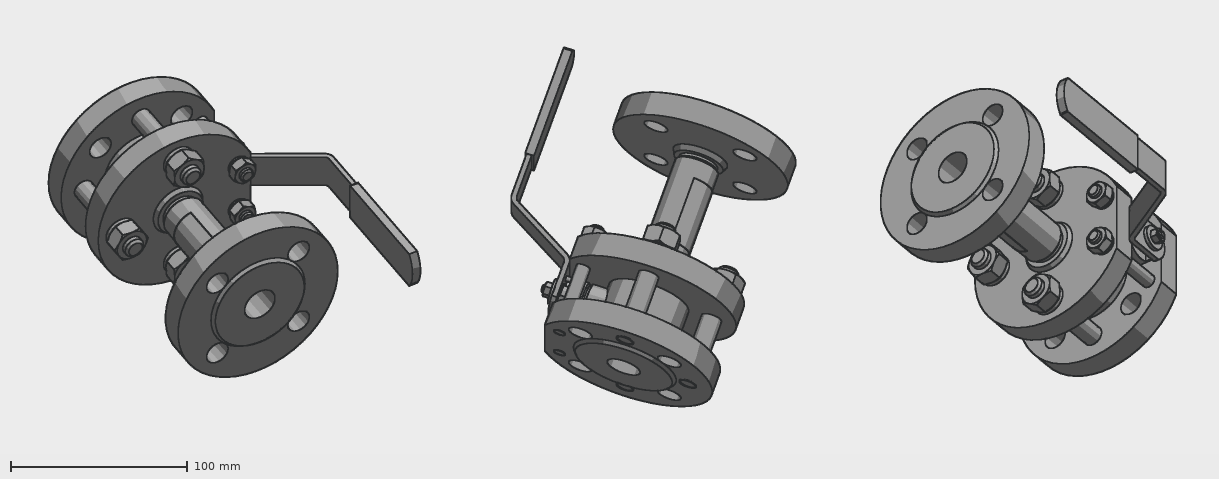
import cadquery as cq
import math


flange_radius = 52.5
flange_thickness = 14.4
face_height = 2.0
face_radius = 29.2
face_base_radius = 30.9
bolt_circle_radius = 37.7
bolt_hole_radius = 7.0
bolt_hole_count = 4
first_bolt_hole_angle = 45
front_flat_y = 48.2
middle_flat_y = 47.5

front_flange_x = face_height
body_x = front_flange_x + flange_thickness
body_length = 27.6
middle_flange_x = body_x + body_length
middle_flange_end_x = middle_flange_x + flange_thickness
total_length = 151.0
rear_flange_end_x = total_length - face_height
rear_flange_x = rear_flange_end_x - flange_thickness

body_radius = 24.0
bore_radius = 10.0
neck_radius = 11.5
pipe_radius = 13.0
pipe_chamfer = pipe_radius - neck_radius
pipe_start_x = 63.3
pipe_end_x = 129.5
collar_radius = 14.8
collar_base_radius = 16.3
front_collar_length = 2.7
rear_collar_length = 3.3
plate_radius = 13.4
plate_start_x = 76.7
plate_end_x = 116.8
plate_edge_y = -2.2

large_stud = dict(
    radius=6.0, tip_chamfer=1.5, tip_x=75.5, hole_radius=5.1, groove_width=0.6,
    washer_radius=9.6, washer_thickness=2.7, nut_radius=11.2, nut_height=10.0,
)
small_stud = dict(
    radius=4.1, tip_chamfer=1.0, tip_x=69.7, hole_radius=3.5, groove_width=0.25,
    washer_radius=6.3, washer_thickness=1.7, nut_radius=7.7, nut_height=6.7,
)
large_stud_centers = [
    (0, bolt_circle_radius),
    (0, -bolt_circle_radius),
    (-bolt_circle_radius, 0),
]
small_stud_y = 39.3
small_stud_z = 16.3
small_stud_centers = [(small_stud_y, small_stud_z), (small_stud_y, -small_stud_z)]
nut_chamfer_angle = 30

stem_x = body_x + body_length / 2
boss_radius = 11.0
boss_top_y = 32.3
groove_radius = 10.0
groove_chamfer = boss_radius - groove_radius
groove_top_y = 34.7
collar_top_y = 44.1
stop_top_y = 47.7
stop_edge_x = 25.9
gland_radius = 5.3
stem_sleeve_radius = 6.2
stop_pin_x = 40.1
stop_pin_radius = 1.5
stem_washer_radius = 7.4
stem_washer_thickness = 2.0
stem_nut_radius = 4.5
stem_nut_height = 4.3
stem_tip_radius = 2.5
stem_tip_height = 1.5
stem_tip_chamfer = 0.9

lever_thickness = 3.1
lever_half_width = 10.8
lever_base_y = 48.4
lever_top_y = lever_base_y + lever_thickness
lever_end_radius = 12.5
lever_bend_angle = 60
lever_bend_start_x = 45.5
lever_inner_bend_radius = 3.1
lever_arm_y = 89.7

grip_start_x = 100.7
grip_end_x = 171.5
grip_arc_start_x = 167.8
grip_bottom_y = 88.4
grip_top_y = 93.7
grip_bottom_z = -13.0
grip_top_z = 11.3
grip_wall = 0.9


def plane_along_x(x, y=0, z=0, radial=(0, 1, 0)):
    return cq.Workplane(cq.Plane(origin=(x, y, z), xDir=radial, normal=(1, 0, 0)))


def plane_along_y(y, x=stem_x):
    return cq.Workplane(cq.Plane(origin=(x, y, 0), xDir=(0, 0, 1), normal=(0, 1, 0)))


def rod_x(start_x, end_x, radius, y=0, z=0):
    return plane_along_x(start_x, y, z).circle(radius).extrude(end_x - start_x)


def rod_y(start_y, end_y, radius, x=stem_x):
    return plane_along_y(start_y, x).circle(radius).extrude(end_y - start_y)


def cone_x(start_x, start_radius, end_x, end_radius, y=0, z=0):
    """Truncated cone along X, centred on (y, z)."""
    profile = [(start_x, 0), (start_x, start_radius), (end_x, end_radius), (end_x, 0)]
    cone = cq.Workplane("XY").polyline(profile).close().revolve(360, (0, 0, 0), (1, 0, 0))
    return cone.translate((0, y, z))


def hex_nut(base, corner_radius, height):
    """Hexagon standing on the base plane, corners chamfered at both ends."""
    flat_radius = corner_radius * math.cos(math.pi / 6)
    drop = (corner_radius - flat_radius) * math.tan(math.radians(nut_chamfer_angle))
    hexagon = base.polygon(6, 2 * corner_radius).extrude(height)
    blank = base.circle(corner_radius).extrude(height)
    blank = blank.edges("%CIRCLE").chamfer(drop, corner_radius - flat_radius)
    return hexagon.intersect(blank)


def flange(start_x):
    return rod_x(start_x, start_x + flange_thickness, flange_radius)


def cut_flat(solid, flat_y):
    remover = cq.Workplane("XY").box(
        total_length, flange_radius, 2 * flange_radius, centered=(False, False, True)
    )
    return solid.cut(remover.translate((0, flat_y, 0)))


def drill_bolt_holes(solid, start_x):
    holes = (
        plane_along_x(start_x)
        .polarArray(bolt_circle_radius, first_bolt_hole_angle, 360, bolt_hole_count)
        .circle(bolt_hole_radius)
        .extrude(flange_thickness)
    )
    return solid.cut(holes)


def make_front_flange():
    front = cut_flat(flange(front_flange_x), front_flat_y)
    front = front.union(cone_x(0, face_radius, front_flange_x, face_base_radius))
    front = drill_bolt_holes(front, front_flange_x)
    for size, centers in ((large_stud, large_stud_centers), (small_stud, small_stud_centers)):
        for y, z in centers:
            front = front.cut(stud_end_groove(size, y, z))
    return front


def stud_end_groove(size, y, z):
    """V groove in the front flange around the chamfered end of a stud."""
    radius = size["hole_radius"]
    width = size["groove_width"]
    end_x = front_flange_x + width
    hole = rod_x(front_flange_x, end_x, radius, y, z)
    return hole.cut(cone_x(front_flange_x, radius - width, end_x, radius, y, z))


def make_rear_flange():
    rear = flange(rear_flange_x)
    rear = rear.union(cone_x(rear_flange_end_x, face_base_radius, total_length, face_radius))
    return drill_bolt_holes(rear, rear_flange_x)


def make_pipe():
    front_collar_x = middle_flange_end_x + front_collar_length
    rear_collar_x = rear_flange_x - rear_collar_length
    pipe = rod_x(pipe_start_x, pipe_end_x, pipe_radius)
    pipe = pipe.edges("%CIRCLE").chamfer(pipe_chamfer)
    pipe = pipe.union(rod_x(middle_flange_end_x, rear_flange_x, neck_radius))
    pipe = pipe.union(
        cone_x(middle_flange_end_x, collar_base_radius, front_collar_x, collar_radius)
    )
    return pipe.union(cone_x(rear_collar_x, collar_radius, rear_flange_x, collar_base_radius))


def make_name_plate():
    plate = rod_x(plate_start_x, plate_end_x, plate_radius)
    keep = cq.Workplane("XY").box(
        total_length, plate_radius, 2 * plate_radius, centered=(False, False, True)
    )
    return plate.intersect(keep.translate((0, plate_edge_y - plate_radius, 0)))


def make_stud(size, y, z):
    """Stud from the front flange through the middle flange, with washer and nut."""
    radial = (0, y, z)
    washer_end_x = middle_flange_end_x + size["washer_thickness"]
    rod = rod_x(body_x, size["tip_x"], size["radius"], y, z)
    rod = rod.faces(">X").chamfer(size["tip_chamfer"])
    washer = rod_x(middle_flange_end_x, washer_end_x, size["washer_radius"], y, z)
    nut_base = plane_along_x(washer_end_x, y, z, radial)
    nut = hex_nut(nut_base, size["nut_radius"], size["nut_height"])
    return rod.union(washer).union(nut)


def make_stem():
    washer_top_y = lever_top_y + stem_washer_thickness
    nut_top_y = washer_top_y + stem_nut_height
    tip_y = nut_top_y + stem_tip_height

    boss_profile = [
        (0, 0),
        (boss_radius, 0),
        (boss_radius, boss_top_y),
        (groove_radius, boss_top_y),
        (groove_radius, groove_top_y - groove_chamfer),
        (boss_radius, groove_top_y),
        (boss_radius, collar_top_y),
        (0, collar_top_y),
    ]
    stem = cq.Workplane("XY").polyline(boss_profile).close().revolve(360, (0, 0, 0), (0, 1, 0))
    stem = stem.translate((stem_x, 0, 0))

    stop_width = stop_edge_x - (stem_x - boss_radius)
    stop_keep = cq.Workplane("XY").box(
        stop_width, stop_top_y, 2 * boss_radius, centered=(False, False, True)
    )
    stop = rod_y(collar_top_y, stop_top_y, boss_radius)
    stop = stop.intersect(stop_keep.translate((stem_x - boss_radius, 0, 0)))

    gland = rod_y(collar_top_y, stop_top_y, gland_radius)
    sleeve = rod_y(stop_top_y, lever_base_y, stem_sleeve_radius)
    stop_pin = rod_y(collar_top_y, lever_base_y, stop_pin_radius, stop_pin_x)

    washer = rod_y(lever_top_y, washer_top_y, stem_washer_radius)
    nut = hex_nut(plane_along_y(washer_top_y), stem_nut_radius, stem_nut_height)
    tip = rod_y(nut_top_y, tip_y, stem_tip_radius)
    tip = tip.faces(">Y").chamfer(stem_tip_chamfer)
    for piece in (stop, gland, sleeve, stop_pin, washer, nut, tip):
        stem = stem.union(piece)
    return stem


def make_lever():
    """Flat bar bent up and back to level, its near end rounded about the stem."""
    angle = math.radians(lever_bend_angle)
    middle_radius = lever_inner_bend_radius + lever_thickness / 2
    bend_run = middle_radius * math.sin(angle)
    bend_rise = middle_radius * (1 - math.cos(angle))
    low_y = lever_base_y + lever_thickness / 2
    slope_rise = lever_arm_y - lever_base_y - 2 * bend_rise
    slope_length = slope_rise / math.sin(angle)
    start_x = stem_x - lever_end_radius

    path = (
        cq.Workplane("XY")
        .moveTo(start_x, low_y)
        .lineTo(lever_bend_start_x, low_y)
        .tangentArcPoint((bend_run, bend_rise))
        .polarLine(slope_length, lever_bend_angle)
        .tangentArcPoint((bend_run, bend_rise))
        .lineTo(grip_arc_start_x, low_y + lever_arm_y - lever_base_y)
    )
    section = cq.Workplane(
        cq.Plane(origin=(start_x, low_y, 0), xDir=(0, 1, 0), normal=(1, 0, 0))
    )
    lever = section.rect(lever_thickness, 2 * lever_half_width).sweep(path)

    square_end = cq.Workplane("XY").box(
        lever_end_radius, lever_thickness, 2 * lever_half_width, centered=(False, False, True)
    )
    square_end = square_end.translate((start_x, lever_base_y, 0))
    return lever.cut(square_end.cut(rod_y(lever_base_y, lever_top_y, lever_end_radius)))


def make_grip():
    """Sleeve with a rounded far end, open beside the lower edge of the lever."""
    middle_z = (grip_bottom_z + grip_top_z) / 2
    grip = (
        cq.Workplane(cq.Plane(origin=(0, grip_bottom_y, 0), xDir=(1, 0, 0), normal=(0, -1, 0)))
        .moveTo(grip_start_x, grip_bottom_z)
        .lineTo(grip_arc_start_x, grip_bottom_z)
        .threePointArc((grip_end_x, middle_z), (grip_arc_start_x, grip_top_z))
        .lineTo(grip_start_x, grip_top_z)
        .close()
        .extrude(grip_bottom_y - grip_top_y)
    )
    slit_bottom_z = grip_bottom_z + grip_wall
    slit = cq.Workplane("XY").box(
        grip_arc_start_x - grip_start_x,
        lever_thickness,
        -lever_half_width - slit_bottom_z,
        centered=False,
    )
    return grip.cut(slit.translate((grip_start_x, lever_arm_y, slit_bottom_z)))


valve = make_front_flange()
valve = valve.union(rod_x(body_x, middle_flange_x, body_radius))
valve = valve.union(cut_flat(flange(middle_flange_x), middle_flat_y))
valve = valve.union(make_pipe())
valve = valve.union(make_name_plate())
valve = valve.union(make_rear_flange())
valve = valve.union(make_stem())
for y, z in large_stud_centers:
    valve = valve.union(make_stud(large_stud, y, z))
for y, z in small_stud_centers:
    valve = valve.union(make_stud(small_stud, y, z))
valve = valve.union(make_lever())
valve = valve.union(make_grip())

result = valve.cut(rod_x(0, total_length, bore_radius))